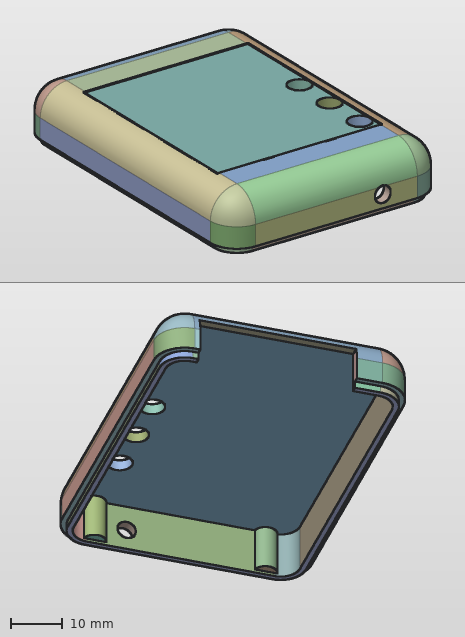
import cadquery as cq

length = 69.85
width = 50.8
height = 12.4
outer_radius = 6.3
wall = 2.4

lip_height = 1.5
lip_inset = wall / 2

label_length = 45.1
label_width = 38.85
label_depth = 0.2

indicator_diameter = 5.0
indicator_pitch = 10.1
indicator_middle_x = 8.5
indicator_y = 16.9
indicator_count = 3

opening_y_min = -13.9
opening_y_max = 17.95
opening_top = 8.65

cable_diameter = 3.7
cable_y = 11.0
cable_z = 4.5

post_diameter = 4.75
post_embed = 0.55
post_x = length / 2 - wall + post_embed
post_spacing_y = 34.8
post_bottom = 0.7

ceiling = height - label_depth - wall


def rounded_block(inset, bottom, top):
    """Upright block inset from the outer walls, with concentric vertical corners."""
    return (
        cq.Workplane("XY", origin=(0, 0, bottom))
        .rect(length - 2 * inset, width - 2 * inset)
        .extrude(top - bottom)
        .edges("|Z")
        .fillet(outer_radius - inset)
    )


def end_posts():
    """Two half-round posts on the +X wall, cut off at their axes inside the wall."""
    posts = (
        cq.Workplane("XY", origin=(post_x, 0, post_bottom))
        .rarray(0.7, post_spacing_y, 1, 2)
        .circle(post_diameter / 2)
        .extrude(ceiling - post_bottom)
    )
    return posts.intersect(rounded_block(wall - post_embed, 0, ceiling))


case = rounded_block(0, lip_height, height).faces(">Z").edges().fillet(outer_radius)
case = case.union(rounded_block(lip_inset, 0, height - outer_radius))
case = case.cut(rounded_block(wall, 0, ceiling))

case = case.union(end_posts())

label = cq.Workplane("XY", origin=(0, 0, height - label_depth)).rect(label_length, label_width)
case = case.cut(label.extrude(label_depth))

indicators = (
    cq.Workplane("XY", origin=(indicator_middle_x, indicator_y, ceiling))
    .rarray(indicator_pitch, 0.7, indicator_count, 1)
    .circle(indicator_diameter / 2)
    .extrude(height - ceiling)
)
case = case.cut(indicators)

opening = cq.Workplane("XY").box(
    wall, opening_y_max - opening_y_min, opening_top, centered=False
)
case = case.cut(opening.translate((-length / 2, opening_y_min, 0)))

cable = cq.Workplane("YZ", origin=(length / 2 - wall, cable_y, cable_z)).circle(cable_diameter / 2)
case = case.cut(cable.extrude(wall))

result = case